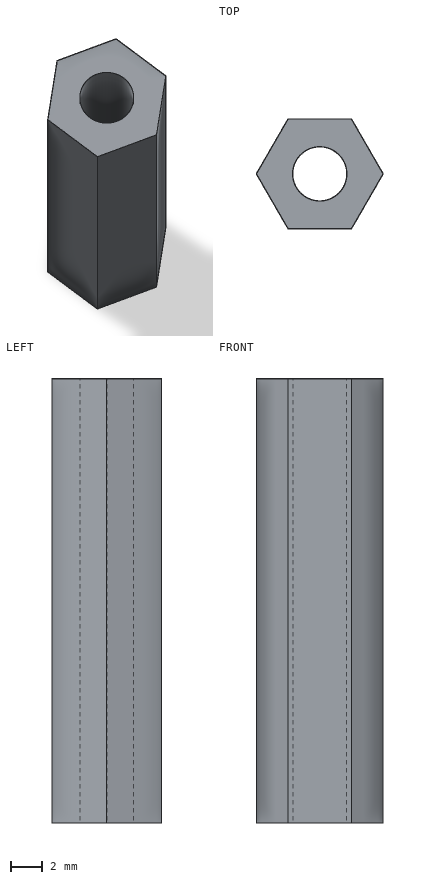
import cadquery as cq

WIDTH_ACROSS_CORNERS = 8.0
LENGTH = 28.0
BORE_DIAMETER = 3.4
HEX_SIDES = 6


def hexagonal_body():
    """Hexagonal bar along Z, with two opposite corners on the X axis."""
    return cq.Workplane("XY").polygon(HEX_SIDES, WIDTH_ACROSS_CORNERS).extrude(LENGTH)


def cut_bore(body):
    """Cut the central bore through the full length of the bar."""
    return body.faces(">Z").workplane().hole(BORE_DIAMETER)


result = cut_bore(hexagonal_body())